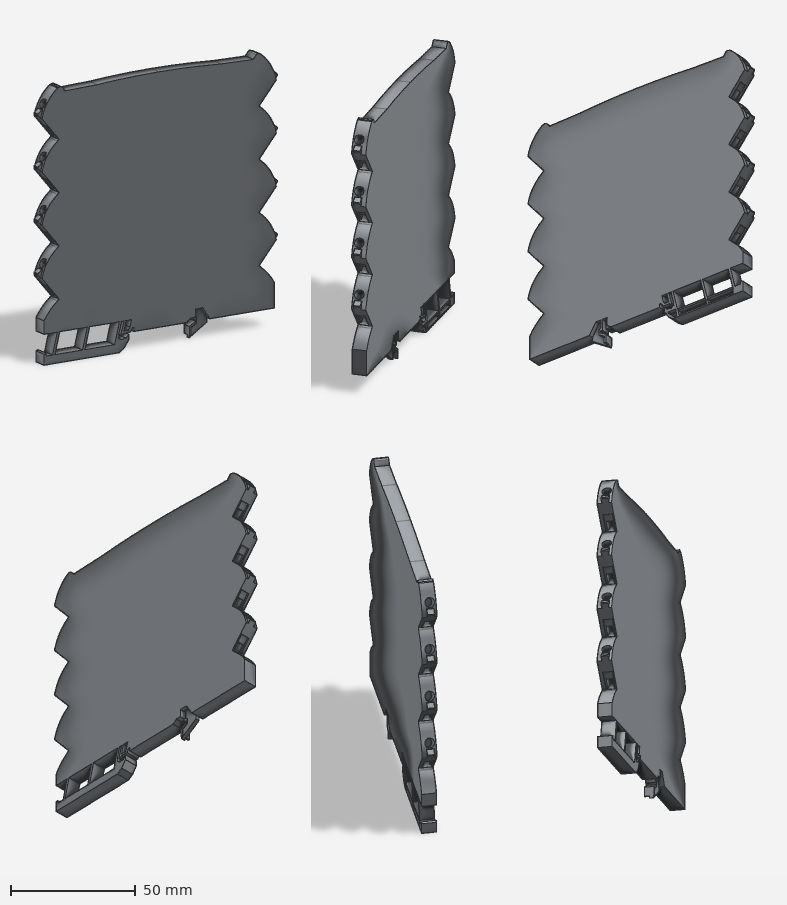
import cadquery as cq
import math

THICKNESS = 6.1
NEAR_FACE = -THICKNESS / 2

HEIGHT = 115.0
OVERALL_WIDTH = 113.0
BASE_HALF_WIDTH = 54.4
BASE_Z = 7.8
RAIL_TOP_Z = 12.9
SHOULDER_Z = 18.5

ROOF_CROWN_Z = 114.3
ROOF_ARC_HALF_WIDTH = 29.2
ROOF_ARC_END_Z = 113.3
ROOF_HALF_WIDTH = 44.4
ROOF_END_Z = 112.9
LIP_Y = 46.6
LIP_HALF_WIDTH = 0.7
LIP_SIDE_Z = 114.8

TOOTH_COUNT = 4
TOOTH_PITCH = 22.2
VALLEY_HALF_WIDTH = 47.3
FIRST_VALLEY_Z = 93.2
ROOT_FLAT = 0.7
TOOTH_ROOT_Z = FIRST_VALLEY_Z + TOOTH_PITCH
TIP_REACH = 8.0
TIP_DROP = 12.5
TIP_RISE = TOOTH_PITCH - TIP_DROP
FLANK_MID_REACH = 5.4
FLANK_MID_DROP = 5.9
SHOULDER_MID_REACH = 4.3
SHOULDER_MID_DROP = 4.0

TERMINAL_X = 0.5
SCREW_HOLE_DIAMETER = 3.9
SCREW_HOLE_DEPTH = 8.0
SCREW_HOLE_TILT = 30.0
SCREW_HOLE_Y = 53.4
SCREW_HOLE_DROP = 6.9
TAB_WIDTH = 3.0
TAB_REACH = OVERALL_WIDTH / 2
TAB_TOP_Y = 54.7
TAB_TOP_DROP = 9.1
TAB_NOSE_DROP = 10.6
TAB_INNER_Y = 52.9
RECESS_WIDTH = 4.0
RECESS_START = 0.1
RECESS_LENGTH = 7.5
RECESS_DEPTH = 0.9
WIRE_SLOT_WIDTH = 2.6
WIRE_SLOT_LENGTH = 4.1
WIRE_SLOT_DEPTH = 5.8

CLIP_RIM_WIDTH = 4.0
CLIP_PLATE_WIDTH = 1.7
CLIP_PLATE_X = -0.1
CLIP_WINDOW_DEPTH = 2.3
CLIP_WINDOW_Y = 15.0
CLIP_WINDOW_Z = 9.4
CLIP_HOOK_Y = 17.2
CLIP_TOP_Y = 20.6
CLIP_BACK_Y = 23.9
CLIP_TIP_Y = 15.5
CLIP_RIM_INNER_Y = CLIP_TIP_Y + 0.8
CLIP_RIM_BOTTOM_Z = 1.6

FOOT_POCKET_DEPTH = 2.3
FOOT_FLOOR_Z = 3.7
STRUT_WIDTH = 1.2
JOIN_OVERLAP = 0.1
STRUT_LEAN = 2.3
STRUT_TOPS_Y = (-32.8, -46.9)


def prism(points, width, x_center=0.0):
    """Extrude a YZ polygon by width, centred on x_center."""
    sketch = cq.Workplane("YZ", origin=(x_center, 0, 0)).polyline(points).close()
    return sketch.extrude(width / 2, both=True)


def near_prism(points, depth):
    """Extrude a YZ polygon from the -X face into the part."""
    return cq.Workplane("YZ", origin=(NEAR_FACE, 0, 0)).polyline(points).close().extrude(depth)


def with_mirror(solid):
    """The solid together with its mirror image on the -Y edge."""
    return solid.union(solid.mirror("XZ"))


def half_profile():
    """Half of the housing, from the middle plane to the toothed +Y edge."""
    path = (
        cq.Workplane("YZ", origin=(NEAR_FACE, 0, 0))
        .moveTo(0, RAIL_TOP_Z)
        .lineTo(0, ROOF_CROWN_Z)
        .threePointArc((ROOF_ARC_HALF_WIDTH / 2, ROOF_CROWN_Z - (ROOF_CROWN_Z - ROOF_ARC_END_Z) / 4),
                       (ROOF_ARC_HALF_WIDTH, ROOF_ARC_END_Z))
        .lineTo(ROOF_HALF_WIDTH, ROOF_END_Z)
        .lineTo(LIP_Y - LIP_HALF_WIDTH, LIP_SIDE_Z)
        .threePointArc((LIP_Y, HEIGHT), (LIP_Y + LIP_HALF_WIDTH, LIP_SIDE_Z))
    )
    for index in range(TOOTH_COUNT):
        root_z = TOOTH_ROOT_Z - index * TOOTH_PITCH
        path = (
            path.lineTo(VALLEY_HALF_WIDTH + ROOT_FLAT, root_z - ROOT_FLAT)
            .threePointArc((VALLEY_HALF_WIDTH + FLANK_MID_REACH, root_z - FLANK_MID_DROP),
                           (VALLEY_HALF_WIDTH + TIP_REACH, root_z - TIP_DROP))
            .lineTo(VALLEY_HALF_WIDTH, root_z - TOOTH_PITCH)
        )
    last_valley_z = TOOTH_ROOT_Z - TOOTH_COUNT * TOOTH_PITCH
    path = (
        path.lineTo(VALLEY_HALF_WIDTH + ROOT_FLAT, last_valley_z - ROOT_FLAT)
        .threePointArc((VALLEY_HALF_WIDTH + SHOULDER_MID_REACH, last_valley_z - SHOULDER_MID_DROP),
                       (BASE_HALF_WIDTH, SHOULDER_Z))
        .lineTo(BASE_HALF_WIDTH, RAIL_TOP_Z)
        .close()
    )
    return path.extrude(THICKNESS)


def base():
    """Lower strip left of the sprung foot, notched for the rail clip, ending in a snap hook."""
    overlap_z = RAIL_TOP_Z + 1.2
    outline = [
        (BASE_HALF_WIDTH, overlap_z),
        (BASE_HALF_WIDTH, BASE_Z),
        (CLIP_BACK_Y, BASE_Z),
        (CLIP_TOP_Y, RAIL_TOP_Z),
        (CLIP_HOOK_Y, RAIL_TOP_Z),
        (CLIP_HOOK_Y, CLIP_WINDOW_Z),
        (CLIP_WINDOW_Y, CLIP_WINDOW_Z),
        (13.1, BASE_Z),
        (-12.0, BASE_Z),
        (-12.0, 9.4),
        (-12.4, 9.4),
        (-13.6, BASE_Z),
        (-16.9, 7.7),
        (-17.0, 7.1),
        (-18.2, 7.2),
        (-16.6, RAIL_TOP_Z),
        (-16.6, overlap_z),
    ]
    hook_opening = [
        (-13.1, RAIL_TOP_Z),
        (-15.6, RAIL_TOP_Z),
        (-16.6, 8.7),
        (-14.6, 8.7),
        (-13.8, 9.9),
    ]
    return prism(outline, THICKNESS).cut(prism(hook_opening, THICKNESS))


def rail_clip():
    """Thin hooked plate with a wider rim, flush with the -X face, along its hook edge."""
    plate_back = [(CLIP_TOP_Y, RAIL_TOP_Z), (CLIP_BACK_Y, BASE_Z), (CLIP_BACK_Y, 6.0), (CLIP_TIP_Y, 0.6)]
    hook_edge = [
        (CLIP_TIP_Y, 5.4),
        (18.5, 7.1),
        (18.2, BASE_Z),
        (CLIP_HOOK_Y, BASE_Z),
        (CLIP_HOOK_Y, RAIL_TOP_Z),
    ]
    rim_inner_edge = [
        (18.0, RAIL_TOP_Z),
        (18.0, 9.2),
        (19.0, 8.7),
        (19.0, 6.3),
        (CLIP_RIM_INNER_Y, 4.7),
        (CLIP_RIM_INNER_Y, CLIP_RIM_BOTTOM_Z),
    ]
    plate = prism(plate_back + hook_edge, CLIP_PLATE_WIDTH, CLIP_PLATE_X)
    rim_outline = [(CLIP_TIP_Y, CLIP_RIM_BOTTOM_Z)] + hook_edge + rim_inner_edge
    return plate.union(near_prism(rim_outline, CLIP_RIM_WIDTH))


def clip_window():
    """Pocket beside the clip, open to the -X face."""
    outline = [
        (CLIP_HOOK_Y, RAIL_TOP_Z),
        (CLIP_WINDOW_Y, RAIL_TOP_Z),
        (CLIP_WINDOW_Y, CLIP_WINDOW_Z),
        (CLIP_HOOK_Y, CLIP_WINDOW_Z),
    ]
    return near_prism(outline, CLIP_WINDOW_DEPTH)


def sprung_foot():
    """Foot bar with a rail hook at its inner end, hung from leaning struts."""
    bar = prism(
        [
            (-17.7, RAIL_TOP_Z + JOIN_OVERLAP),
            (-18.7, RAIL_TOP_Z + JOIN_OVERLAP),
            (-21.0, FOOT_FLOOR_Z),
            (-53.1, FOOT_FLOOR_Z),
            (-53.5, 5.0),
            (-BASE_HALF_WIDTH, 4.6),
            (-BASE_HALF_WIDTH, 0),
            (-19.0, 0),
            (-16.6, 1.6),
            (-14.4, 4.7),
            (-14.3, 7.0),
            (-15.8, 5.6),
            (-17.7, 5.3),
            (-19.0, 6.2),
            (-19.0, 8.0),
        ],
        THICKNESS,
    )
    for top_y in STRUT_TOPS_Y:
        foot_y = top_y - STRUT_LEAN
        strut = [
            (top_y, RAIL_TOP_Z + JOIN_OVERLAP),
            (top_y - STRUT_WIDTH, RAIL_TOP_Z + JOIN_OVERLAP),
            (foot_y - STRUT_WIDTH, FOOT_FLOOR_Z - JOIN_OVERLAP),
            (foot_y, FOOT_FLOOR_Z - JOIN_OVERLAP),
        ]
        bar = bar.union(prism(strut, THICKNESS))

    pocket_top = 2.9
    pocket_bottom = 0.7
    pockets = [
        [(-21.4, pocket_top), (-35.5, pocket_top), (-35.9, pocket_bottom), (-22.0, pocket_bottom)],
        [(-36.3, pocket_top), (-49.5, pocket_top), (-49.5, pocket_bottom), (-36.9, pocket_bottom)],
        [(-16.3, 4.0), (-20.1, 4.0), (-20.7, pocket_bottom), (-19.5, pocket_bottom), (-16.3, 3.6)],
    ]
    for outline in pockets:
        bar = bar.cut(near_prism(outline, FOOT_POCKET_DEPTH))
    return bar


def clamp_tab(root_z):
    """Narrow tab standing proud of a tooth just above its tip, flush with the tooth underside."""
    def underside_z(y):
        return root_z - TOOTH_PITCH + (y - VALLEY_HALF_WIDTH) * TIP_RISE / TIP_REACH

    outline = [
        (TAB_INNER_Y, root_z - TAB_TOP_DROP),
        (TAB_TOP_Y, root_z - TAB_TOP_DROP),
        (TAB_REACH, root_z - TAB_NOSE_DROP),
        (TAB_REACH, underside_z(TAB_REACH)),
        (TAB_INNER_Y, underside_z(TAB_INNER_Y)),
    ]
    return prism(outline, TAB_WIDTH, TERMINAL_X)


def screw_hole(root_z):
    """Round hole square to the tooth flank, sloping down into the housing."""
    tilt = math.radians(SCREW_HOLE_TILT)
    inward = cq.Vector(0, -math.cos(tilt), -math.sin(tilt))
    mouth = cq.Vector(TERMINAL_X, SCREW_HOLE_Y, root_z - SCREW_HOLE_DROP)
    lead = 1.2
    return cq.Workplane(cq.Solid.makeCylinder(
        SCREW_HOLE_DIAMETER / 2, SCREW_HOLE_DEPTH + lead, mouth - inward * lead, inward))


def wire_entry(root_z):
    """Shallow recess with a deeper slot, square to the underside of a tooth."""
    face_length = math.hypot(TIP_REACH, TIP_RISE)
    along_y = TIP_REACH / face_length
    along_z = TIP_RISE / face_length
    valley_z = root_z - TOOTH_PITCH

    def box(start, length, depth, width):
        corners = [(start, 0), (start + length, 0), (start + length, depth), (start, depth)]
        outline = [
            (VALLEY_HALF_WIDTH + s * along_y - d * along_z, valley_z + s * along_z + d * along_y)
            for s, d in corners
        ]
        return prism(outline, width, TERMINAL_X)

    recess = box(RECESS_START, RECESS_LENGTH, RECESS_DEPTH, RECESS_WIDTH)
    return recess.union(box(RECESS_START, WIRE_SLOT_LENGTH, WIRE_SLOT_DEPTH, WIRE_SLOT_WIDTH))


housing = with_mirror(half_profile())
housing = housing.union(base()).cut(clip_window())
housing = housing.union(rail_clip()).union(sprung_foot())

for tooth in range(TOOTH_COUNT):
    tooth_root_z = TOOTH_ROOT_Z - tooth * TOOTH_PITCH
    housing = housing.union(with_mirror(clamp_tab(tooth_root_z)))
    housing = housing.cut(with_mirror(screw_hole(tooth_root_z)))
    housing = housing.cut(with_mirror(wire_entry(tooth_root_z)))

result = housing